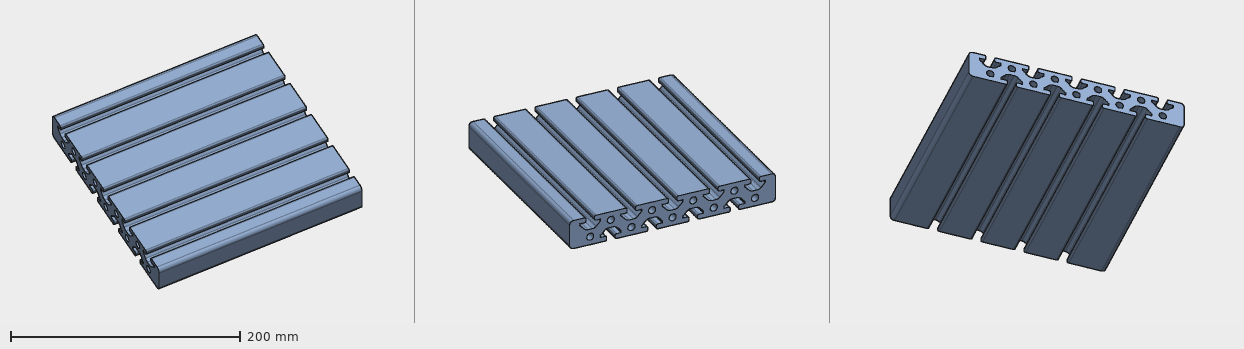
import cadquery as cq
import math

WIDTH = 200.0
LENGTH = 200.0
HEIGHT = 28.0
CORNER_RADIUS = 4.0

SLOT_PITCH = 40.0
TOP_SLOT_COUNT = 5
BOTTOM_SLOT_COUNT = TOP_SLOT_COUNT - 1
NECK_HALF_WIDTH = 4.1
CAVITY_HALF_WIDTH = 10.0
LIP_THICKNESS = 4.9
LIP_RADIUS = 1.5
CAVITY_WALL_DEPTH = 6.7
SLOT_DEPTH = 12.5
FLOOR_RADIUS = 5.0
FLANK_ANGLE = math.radians(45)

BORE_DIAMETER = 6.8
BORE_DEPTH = 8.0


def slot_centres(count):
    """X positions of a centred row of slots."""
    return [(i - (count - 1) / 2) * SLOT_PITCH for i in range(count)]


def make_body():
    """Rectangular plate with its four long edges rounded."""
    return cq.Workplane("XY").box(WIDTH, LENGTH, HEIGHT).edges("|Y").fillet(CORNER_RADIUS)


def make_slot():
    """T-slot cutter opening to +Z on the top face, centred on X = 0."""
    top = HEIGHT / 2
    lip_bottom = top - LIP_THICKNESS
    wall_bottom = top - CAVITY_WALL_DEPTH
    floor = top - SLOT_DEPTH

    flank_run = (SLOT_DEPTH - CAVITY_WALL_DEPTH) / math.tan(FLANK_ANGLE)
    flank_foot = CAVITY_HALF_WIDTH - flank_run

    half_angle = FLANK_ANGLE / 2
    tangent_length = FLOOR_RADIUS * math.tan(half_angle)
    flat_end = flank_foot - tangent_length
    flank_end = flank_foot + tangent_length * math.cos(FLANK_ANGLE)
    flank_rise = tangent_length * math.sin(FLANK_ANGLE)
    arc_mid_x = flat_end + FLOOR_RADIUS * math.sin(half_angle)
    arc_mid_z = floor + FLOOR_RADIUS * (1 - math.cos(half_angle))

    mouth = NECK_HALF_WIDTH + LIP_RADIUS
    lip_mid_offset = LIP_RADIUS * (1 - math.sqrt(0.5))
    lip_mid_x = NECK_HALF_WIDTH + lip_mid_offset

    half = (
        cq.Workplane("XZ", origin=(0, LENGTH / 2, 0))
        .moveTo(0, top)
        .lineTo(mouth, top)
        .threePointArc((lip_mid_x, top - lip_mid_offset), (NECK_HALF_WIDTH, top - LIP_RADIUS))
        .lineTo(NECK_HALF_WIDTH, lip_bottom + LIP_RADIUS)
        .threePointArc((lip_mid_x, lip_bottom + lip_mid_offset), (mouth, lip_bottom))
        .lineTo(CAVITY_HALF_WIDTH, lip_bottom)
        .lineTo(CAVITY_HALF_WIDTH, wall_bottom)
        .lineTo(flank_end, floor + flank_rise)
        .threePointArc((arc_mid_x, arc_mid_z), (flat_end, floor))
        .lineTo(0, floor)
        .close()
        .extrude(LENGTH)
    )
    return half.union(half.mirror("YZ"))


def make_bore():
    """Bore cutter at its depth below the top face, centred on X = 0."""
    return (
        cq.Workplane("XZ", origin=(0, LENGTH / 2, HEIGHT / 2 - BORE_DEPTH))
        .circle(BORE_DIAMETER / 2)
        .extrude(LENGTH)
    )


def cut_row(body, cutter, count):
    """Cut a centred row of copies of one cutter from the body."""
    for x in slot_centres(count):
        body = body.cut(cutter.translate((x, 0, 0)))
    return body


top_slot = make_slot()
bottom_slot = top_slot.mirror("XY")
top_bore = make_bore()
bottom_bore = top_bore.mirror("XY")

result = make_body()
result = cut_row(result, top_slot, TOP_SLOT_COUNT)
result = cut_row(result, bottom_slot, BOTTOM_SLOT_COUNT)
result = cut_row(result, top_bore, BOTTOM_SLOT_COUNT)
result = cut_row(result, bottom_bore, TOP_SLOT_COUNT)